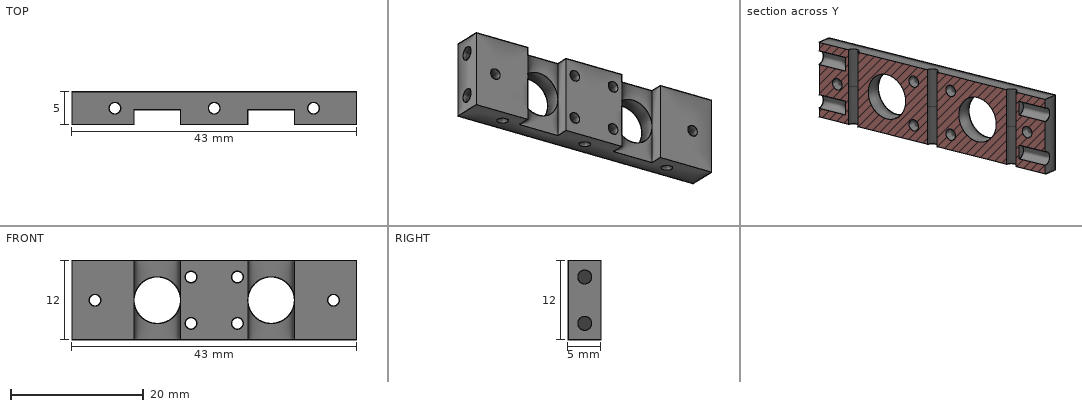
import cadquery as cq

length = 43.0
thickness = 5.0
height = 12.0

bore_diameter = 7.0
bore_offset = 8.6
slot_width = bore_diameter
slot_depth = 2.25

screw_diameter = 1.7
mount_offset = 18.0
pattern_spacing = 7.0
vertical_offset = 15.0

end_hole_diameter = 2.1
end_hole_spacing = pattern_spacing
end_hole_depth = 5.0


def holes_along_y(points, diameter):
    """Cylinders running through the thickness at the given (x, z) points."""
    return (
        cq.Workplane("XZ")
        .pushPoints(points)
        .circle(diameter / 2)
        .extrude(thickness, both=True)
    )


def holes_along_z(points, diameter):
    """Cylinders running through the height at the given (x, y) points."""
    return (
        cq.Workplane("XY")
        .pushPoints(points)
        .circle(diameter / 2)
        .extrude(height, both=True)
    )


def end_holes(side):
    """Pair of blind holes entering the end face at side = -1 or 1."""
    return (
        cq.Workplane("YZ", origin=(side * length / 2, 0, 0))
        .rarray(0.45, end_hole_spacing, 1, 2)
        .circle(end_hole_diameter / 2)
        .extrude(-side * end_hole_depth)
    )


result = cq.Workplane("XY").box(length, thickness, height)

slot_center_y = (slot_depth - thickness) / 2
for side in (-1, 1):
    slot = (
        cq.Workplane("XY")
        .box(slot_width, slot_depth, height)
        .translate((side * bore_offset, slot_center_y, 0))
    )
    result = result.cut(slot)
bore_points = [(-bore_offset, 0), (bore_offset, 0)]
result = result.cut(holes_along_y(bore_points, bore_diameter))

mount_points = [(-mount_offset, 0), (mount_offset, 0)]
half_pattern = pattern_spacing / 2
pattern_points = [(x, z) for x in (-half_pattern, half_pattern) for z in (-half_pattern, half_pattern)]
result = result.cut(holes_along_y(mount_points + pattern_points, screw_diameter))

vertical_points = [(-vertical_offset, 0), (0, 0), (vertical_offset, 0)]
result = result.cut(holes_along_z(vertical_points, screw_diameter))

for side in (-1, 1):
    result = result.cut(end_holes(side))